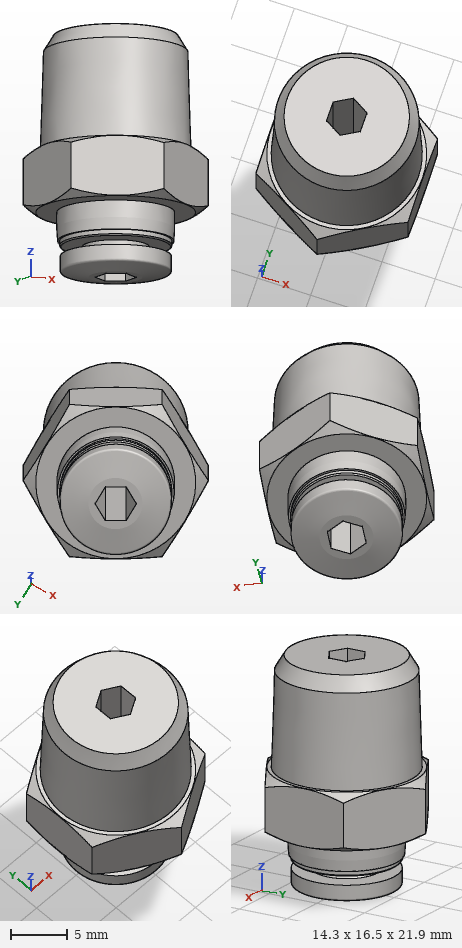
import cadquery as cq
import math

total_height = 21.9

hex_across_flats = 14.29
hex_height = 5.5
hex_chamfer_diameter = 14.22
hex_chamfer_angle = 30.0

stud_height = 10.5
stud_base_diameter = 13.45
stud_taper = 1 / 16
lead_in_height = 1.42
stud_end_diameter = 11.15

collar_diameter = 10.5
collar_height = 1.57
collar_taper_height = 1.04
collar_taper_angle = 4.0
retainer_diameter = 10.0
retainer_height = 0.52
retainer_chamfer = 0.12

neck_diameter = 5.97
neck_flare_height = 0.35
neck_flare_width = 0.15
button_diameter = 9.9
button_top = 1.93
button_face_diameter = 4.8
button_face_angle = 10.0
button_edge_fillet = 0.2

socket_across_flats = 3.175

hex_corner_ratio = 2 / math.sqrt(3)

hex_top = total_height - stud_height
hex_bottom = hex_top - hex_height
collar_taper_top = hex_bottom - collar_height
retainer_top = collar_taper_top - collar_taper_height
retainer_bottom = retainer_top - retainer_height


def hex_prism(across_flats, bottom, height):
    """Upright hexagonal prism with two corners on the Y axis."""
    across_corners = across_flats * hex_corner_ratio
    return (
        cq.Workplane("XY", origin=(0, 0, bottom))
        .transformed(rotate=(0, 0, 90))
        .polygon(6, across_corners)
        .extrude(height)
    )


def revolve_profile(points):
    """Turn a closed (radius, height) outline about the Z axis."""
    return cq.Workplane("XZ").polyline(points).close().revolve(360, (0, 0, 0), (0, 1, 0))


def make_hex_body():
    """Hexagon with its corners cut back conically at both ends."""
    corner_radius = hex_across_flats * hex_corner_ratio / 2
    end_radius = hex_chamfer_diameter / 2
    chamfer_height = (corner_radius - end_radius) * math.tan(math.radians(hex_chamfer_angle))
    envelope = revolve_profile([
        (0, hex_bottom),
        (end_radius, hex_bottom),
        (corner_radius, hex_bottom + chamfer_height),
        (corner_radius, hex_top - chamfer_height),
        (end_radius, hex_top),
        (0, hex_top),
    ])
    return hex_prism(hex_across_flats, hex_bottom, hex_height).intersect(envelope)


def make_stud():
    """Tapered stud with a steeper lead-in cone at its end."""
    taper_height = stud_height - lead_in_height
    taper_end_diameter = stud_base_diameter - stud_taper * taper_height
    return revolve_profile([
        (0, hex_top),
        (stud_base_diameter / 2, hex_top),
        (taper_end_diameter / 2, hex_top + taper_height),
        (stud_end_diameter / 2, total_height),
        (0, total_height),
    ])


def make_collar():
    """Straight collar, slight taper, then a smaller chamfered retainer ring."""
    collar_radius = collar_diameter / 2
    taper_inset = collar_taper_height * math.tan(math.radians(collar_taper_angle))
    retainer_radius = retainer_diameter / 2
    return revolve_profile([
        (0, hex_bottom),
        (collar_radius, hex_bottom),
        (collar_radius, collar_taper_top),
        (collar_radius - taper_inset, retainer_top),
        (retainer_radius, retainer_top),
        (retainer_radius, retainer_bottom + retainer_chamfer),
        (retainer_radius - retainer_chamfer, retainer_bottom),
        (0, retainer_bottom),
    ])


def make_button():
    """Flanged button with a neck that flares onto the flange and a rounded rim."""
    neck_radius = neck_diameter / 2
    button_radius = button_diameter / 2
    face_radius = button_face_diameter / 2
    rim_height = (button_radius - face_radius) * math.tan(math.radians(button_face_angle))
    button = (
        cq.Workplane("XZ")
        .moveTo(0, 0)
        .lineTo(0, retainer_bottom)
        .lineTo(neck_radius, retainer_bottom)
        .lineTo(neck_radius, button_top + neck_flare_height)
        .tangentArcPoint((neck_radius + neck_flare_width, button_top), relative=False)
        .lineTo(button_radius, button_top)
        .lineTo(button_radius, rim_height)
        .lineTo(face_radius, 0)
        .close()
        .revolve(360, (0, 0, 0), (0, 1, 0))
    )
    rim = cq.selectors.NearestToPointSelector((0, 0, rim_height))
    return button.edges("%CIRCLE").edges(rim).fillet(button_edge_fillet)


def make_socket():
    """Hexagonal cutter running the full length of the part."""
    return hex_prism(socket_across_flats, 0, total_height)


body = make_hex_body().union(make_stud()).union(make_collar()).union(make_button())
result = body.cut(make_socket())